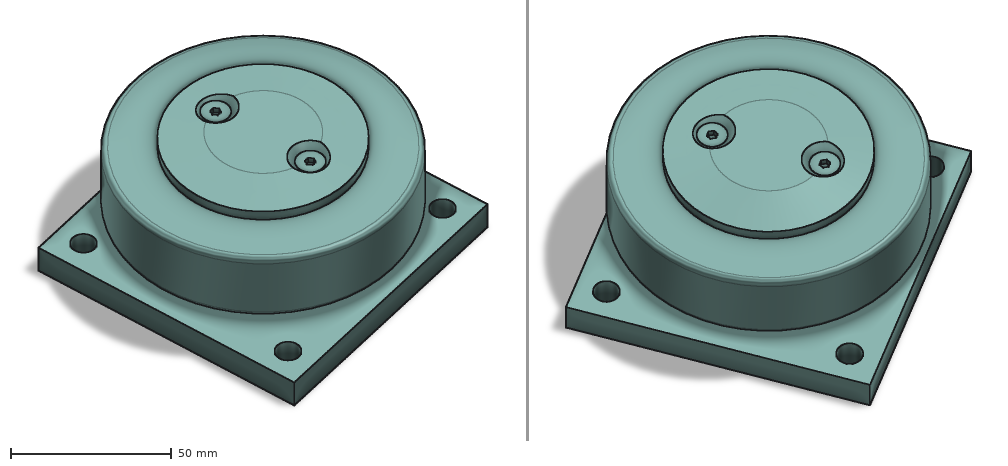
import cadquery as cq
import math

plate_side = 100.0
plate_thickness = 10.0
mount_hole_diameter = 8.4
mount_hole_pitch = 79.9

neck_diameter = 49.0
body_diameter = 101.2
body_bottom = 19.8
body_height = 25.0
body_edge_radius = 2.0
body_top = body_bottom + body_height

cap_diameter = 66.0
cap_flat_diameter = 37.0
overall_height = 51.0
cap_cone_height = 2.6
cap_rim_height = overall_height - cap_cone_height - body_top

screw_head_diameter = 9.7
countersink_diameter = 14.6
countersink_depth = 2.0
hex_across_flats = 3.0
hex_depth = 2.0


def make_plate():
    plate = cq.Workplane("XY").box(plate_side, plate_side, plate_thickness, centered=(True, True, False))
    return (
        plate.faces(">Z").workplane()
        .rect(mount_hole_pitch, mount_hole_pitch, forConstruction=True)
        .vertices()
        .hole(mount_hole_diameter)
    )


def make_neck():
    neck_height = body_bottom - plate_thickness
    return cq.Workplane("XY").workplane(offset=plate_thickness).circle(neck_diameter / 2).extrude(neck_height)


def make_body():
    body = cq.Workplane("XY").workplane(offset=body_bottom).circle(body_diameter / 2).extrude(body_height)
    return body.edges().fillet(body_edge_radius)


def make_cap():
    return (
        cq.Workplane("XZ")
        .moveTo(0, body_top)
        .lineTo(cap_diameter / 2, body_top)
        .lineTo(cap_diameter / 2, body_top + cap_rim_height)
        .lineTo(cap_flat_diameter / 2, overall_height)
        .lineTo(0, overall_height)
        .close()
        .revolve(360, (0, 0, 0), (0, 1, 0))
    )


def make_screw_recess(x):
    """Conical countersink down to the screw head, with a hexagonal key socket below."""
    floor = overall_height - countersink_depth
    cone = cq.Solid.makeCone(
        screw_head_diameter / 2, countersink_diameter / 2, countersink_depth, pnt=cq.Vector(x, 0, floor)
    )
    hex_across_corners = hex_across_flats / math.cos(math.pi / 6)
    socket = (
        cq.Workplane("XY", origin=(x, 0, floor))
        .transformed(rotate=(0, 0, 90))
        .polygon(6, hex_across_corners)
        .extrude(-hex_depth)
    )
    return socket.union(cq.Workplane(cone))


result = make_plate().union(make_neck()).union(make_body()).union(make_cap())
for side in (-1, 1):
    result = result.cut(make_screw_recess(side * cap_flat_diameter / 2))